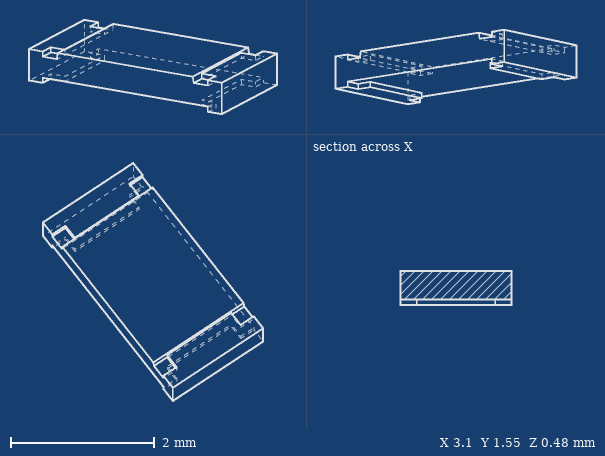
import cadquery as cq
import math


length = 3.1
width = 1.55

end_wall = 0.075
bottom_wall = 0.075
top_wall = 0.075
tab_length = 0.45
corner_notch = 0.225

substrate_height = 0.31
substrate_length = length - 2 * end_wall
substrate_top = bottom_wall + substrate_height
terminal_height = substrate_top + top_wall

coat_thickness = 0.09
coat_end_angle = 10
coat_top = substrate_top + coat_thickness
coat_base_half = length / 2 - tab_length
coat_top_half = coat_base_half - coat_thickness * math.tan(math.radians(coat_end_angle))


def make_substrate():
    """Plain ceramic block between the terminals."""
    return cq.Workplane("XY", origin=(0, 0, bottom_wall)).box(
        substrate_length, width, substrate_height, centered=(True, True, False)
    )


def make_terminal(side):
    """C-shaped terminal on one end (side = -1 or 1), notched at the inner tab corners."""
    end_x = side * length / 2
    neck_x = end_x - side * (tab_length - corner_notch)
    tab_x = end_x - side * tab_length
    half_width = width / 2
    tab_half_width = half_width - corner_notch
    body = (
        cq.Workplane("XY")
        .polyline([
            (end_x, -half_width),
            (neck_x, -half_width),
            (neck_x, -tab_half_width),
            (tab_x, -tab_half_width),
            (tab_x, tab_half_width),
            (neck_x, tab_half_width),
            (neck_x, half_width),
            (end_x, half_width),
        ])
        .close()
        .extrude(terminal_height)
    )
    return body.cut(make_substrate())


def make_coat():
    """Full-width layer on the substrate, tapering towards its top."""
    return (
        cq.Workplane("XZ", origin=(0, width / 2, 0))
        .polyline([
            (-coat_base_half, substrate_top),
            (coat_base_half, substrate_top),
            (coat_top_half, coat_top),
            (-coat_top_half, coat_top),
        ])
        .close()
        .extrude(width)
    )


result = make_substrate()
for side in (-1, 1):
    result = result.union(make_terminal(side), clean=False)
result = result.union(make_coat(), clean=False)